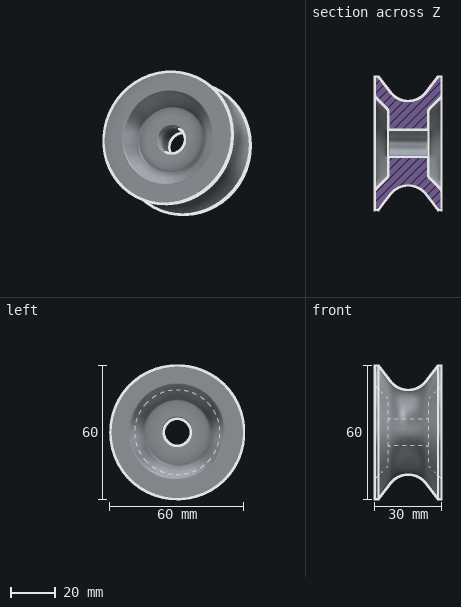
import cadquery as cq
import math

width = 30.0
outer_radius = 30.0

groove_bottom_radius = 19.0
groove_arc_radius = 10.0
flank_angle = math.radians(52.5)

recess_mouth_radius = 21.0
recess_floor_radius = 15.0
recess_depth = 6.0
recess_fillet = 2.0

bore_radius = 6.0
bore_fillet = 1.0

half_width = width / 2
floor_x = half_width - recess_depth


def grooved_blank():
    """Solid roller with the groove turned into its rim."""
    tangent_x = groove_arc_radius * math.sin(flank_angle)
    tangent_radius = groove_bottom_radius + groove_arc_radius * (1 - math.cos(flank_angle))
    flank_end_x = tangent_x + (outer_radius - tangent_radius) / math.tan(flank_angle)
    profile = (
        cq.Workplane("XY")
        .moveTo(-half_width, 0)
        .lineTo(-half_width, outer_radius)
        .lineTo(-flank_end_x, outer_radius)
        .lineTo(-tangent_x, tangent_radius)
        .threePointArc((0, groove_bottom_radius), (tangent_x, tangent_radius))
        .lineTo(flank_end_x, outer_radius)
        .lineTo(half_width, outer_radius)
        .lineTo(half_width, 0)
        .close()
    )
    return profile.revolve(360, (0, 0, 0), (1, 0, 0))


def recess_cutter(side):
    """Truncated cone that hollows the side face at X = side * half_width."""
    profile = (
        cq.Workplane("XY")
        .moveTo(side * half_width, 0)
        .lineTo(side * half_width, recess_mouth_radius)
        .lineTo(side * floor_x, recess_floor_radius)
        .lineTo(side * floor_x, 0)
        .close()
    )
    return profile.revolve(360, (0, 0, 0), (1, 0, 0))


def circle_edges(body, side_x, radius):
    """Circular edges of the given radius around the axis, lying at X = side_x."""
    size_tolerance = 0.01
    return body.edges("%CIRCLE").filter(
        lambda edge: abs(edge.Center().x - side_x) < size_tolerance
        and abs(edge.radius() - radius) < size_tolerance
    )


roller = grooved_blank()
for side in (-1, 1):
    roller = roller.cut(recess_cutter(side))

bore = cq.Workplane("YZ").circle(bore_radius).extrude(half_width, both=True)
roller = roller.cut(bore)

for side in (-1, 1):
    roller = circle_edges(roller, side * half_width, recess_mouth_radius).fillet(recess_fillet)
    roller = circle_edges(roller, side * floor_x, recess_floor_radius).fillet(recess_fillet)
    roller = circle_edges(roller, side * floor_x, bore_radius).fillet(bore_fillet)

result = roller